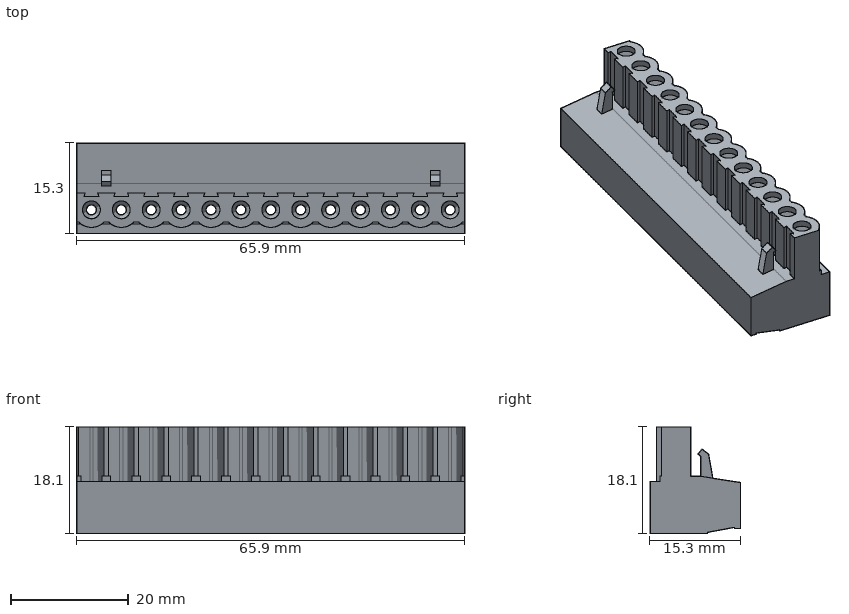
import cadquery as cq
import math


length = 65.9
depth = 15.35
height = 18.1

position_count = 13
pitch = 5.1
first_x = (length - (position_count - 1) * pitch) / 2
hole_y = 4.0
centres_x = [first_x + i * pitch for i in range(position_count)]

ledge_z = 8.9
deck_z = 9.75
deck_back_y = 8.5
back_top_z = 8.7
foot_z = 0.85
foot_front_y = 14.3
underside_z = 1.05
underside_front_y = 9.75
underside_step = 0.2

lobe_front_y = 1.05
facet_width = 0.5
web_y = 2.0
pad_y = 1.65
column_back_y = 6.9
lobe_radius = math.hypot(hole_y - lobe_front_y, facet_width / 2)
lobe_half_width = math.sqrt(lobe_radius**2 - (hole_y - web_y) ** 2)

groove_depth = 0.6
groove_mouth = 2.1
groove_floor = 2.5

bore_diameter = 1.65
mouth_diameter = 3.0
mouth_depth = 1.05
cone_depth = 0.7

latch_width = 1.65
latch_front_y = 8.6
latch_back_y = 10.7
latch_shoulder = (9.95, 13.5)
latch_peak = (8.85, 14.4)
latch_barb = (8.1, 13.5)
barb_root_z = 13.2


def make_base():
    profile = [
        (0, 0),
        (0, ledge_z),
        (pad_y, ledge_z),
        (pad_y, deck_z),
        (deck_back_y, deck_z),
        (depth, back_top_z),
        (depth, foot_z),
        (foot_front_y, foot_z),
        (foot_front_y, underside_z),
        (underside_front_y, underside_step),
        (underside_front_y, 0),
    ]
    return cq.Workplane("YZ").polyline(profile).close().extrude(length)


def make_column():
    facet_angle = math.asin(facet_width / 2 / lobe_radius)
    web_angle = math.asin(lobe_half_width / lobe_radius)
    mid_angle = (facet_angle + web_angle) / 2
    mid_x = lobe_radius * math.sin(mid_angle)
    mid_y = hole_y - lobe_radius * math.cos(mid_angle)

    outline = cq.Workplane("XY").workplane(offset=ledge_z)
    outline = outline.moveTo(0, column_back_y).lineTo(0, web_y)
    for x in centres_x:
        outline = outline.lineTo(x - lobe_half_width, web_y)
        outline = outline.threePointArc((x - mid_x, mid_y), (x - facet_width / 2, lobe_front_y))
        outline = outline.lineTo(x + facet_width / 2, lobe_front_y)
        outline = outline.threePointArc((x + mid_x, mid_y), (x + lobe_half_width, web_y))
    outline = outline.lineTo(length, web_y).lineTo(length, column_back_y).close()
    return outline.extrude(height - ledge_z)


def make_groove(x):
    floor_y = column_back_y - groove_depth
    profile = [
        (x - groove_mouth / 2, column_back_y),
        (x - groove_floor / 2, floor_y),
        (x + groove_floor / 2, floor_y),
        (x + groove_mouth / 2, column_back_y),
    ]
    blank = cq.Workplane("XY").workplane(offset=deck_z).polyline(profile).close()
    return blank.extrude(height - deck_z)


def make_hole(x):
    mouth_floor_z = height - mouth_depth
    profile = [
        (0, 0),
        (bore_diameter / 2, 0),
        (bore_diameter / 2, mouth_floor_z - cone_depth),
        (mouth_diameter / 2, mouth_floor_z),
        (mouth_diameter / 2, height),
        (0, height),
    ]
    section = cq.Workplane("XZ").polyline(profile).close()
    return section.revolve(360, (0, 0), (0, 1)).translate((x, hole_y, 0))


def make_latch(x):
    deck_slope = (deck_z - back_top_z) / (depth - deck_back_y)
    latch_back_z = deck_z - deck_slope * (latch_back_y - deck_back_y)
    profile = [
        (latch_back_y, ledge_z),
        (latch_back_y, latch_back_z),
        latch_shoulder,
        latch_peak,
        latch_barb,
        (latch_front_y, barb_root_z),
        (latch_front_y, ledge_z),
    ]
    plate = cq.Workplane("YZ").polyline(profile).close().extrude(latch_width)
    return plate.translate((x - latch_width / 2, 0, 0))


result = make_base().union(make_column())
for latch_x in (centres_x[0] + pitch / 2, centres_x[-1] - pitch / 2):
    result = result.union(make_latch(latch_x))
for centre_x in centres_x:
    result = result.cut(make_groove(centre_x)).cut(make_hole(centre_x))